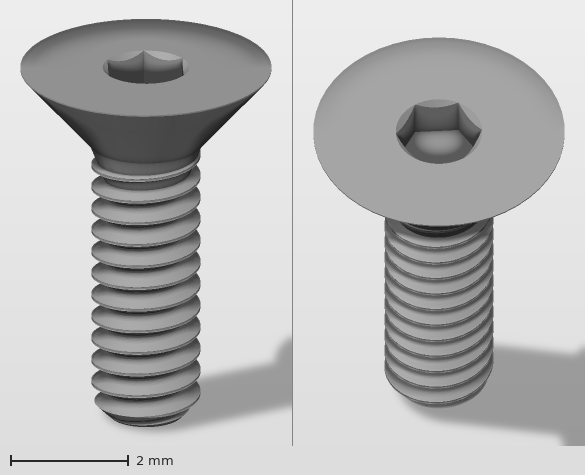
import cadquery as cq
import math

length = 6.35
head_diameter = 4.267
head_rim_height = 0.025
head_cone_half_angle = 41.0

major_diameter = 1.854
pitch = 25.4 / 64
flank_half_angle = 30.0
crest_width = pitch / 8
thread_depth = 0.26
flank_steps = 12
crest_height_at_x_axis = 0.327
tip_diameter = 1.26
thread_overlap_in_head = 0.1

collar_top_radius = 0.965
collar_bottom_radius = 0.93
collar_height = 0.09
neck_half_angle = 21.0
neck_overlap_in_thread = 0.05

socket_across_flats = 1.27
socket_depth = 0.70
socket_chamfer_angle = 45.0


def tangent(degrees):
    """Tangent of an angle given in degrees."""
    return math.tan(math.radians(degrees))


major_radius = major_diameter / 2
minor_radius = major_radius - thread_depth
head_radius = head_diameter / 2
tip_radius = tip_diameter / 2
neck_bottom_radius = minor_radius - neck_overlap_in_thread
rim_bottom = length - head_rim_height
collar_top = rim_bottom - (head_radius - collar_top_radius) / tangent(head_cone_half_angle)
collar_bottom = collar_top - collar_height
neck_bottom = collar_bottom - (collar_bottom_radius - neck_bottom_radius) / tangent(neck_half_angle)
thread_top = collar_top + thread_overlap_in_head


def revolved(outline):
    """Solid of revolution about Z from (radius, height) points."""
    return cq.Workplane("XZ").polyline(outline).close().revolve(360, (0, 0, 0), (0, 1, 0))


def make_thread():
    """Right-hand threaded rod: its flat cross-section twisted upward along Z."""
    turn = 2 * math.pi
    half_crest = turn * crest_width / pitch / 2
    half_root_gap = half_crest + turn * thread_depth * tangent(flank_half_angle) / pitch
    crest_angle = -turn * crest_height_at_x_axis / pitch

    def point(radius, angle):
        return (radius * math.cos(crest_angle + angle), radius * math.sin(crest_angle + angle))

    def flank(start_radius, end_radius, start_angle, end_angle):
        """Points after the first along a spiral whose radius changes evenly with angle."""
        fractions = [step / flank_steps for step in range(1, flank_steps + 1)]
        return [
            point(
                start_radius + fraction * (end_radius - start_radius),
                start_angle + fraction * (end_angle - start_angle),
            )
            for fraction in fractions
        ]

    section = (
        cq.Workplane("XY")
        .moveTo(*point(major_radius, -half_crest))
        .threePointArc(point(major_radius, 0), point(major_radius, half_crest))
        .spline(flank(major_radius, minor_radius, half_crest, half_root_gap), includeCurrent=True)
        .threePointArc(point(minor_radius, math.pi), point(minor_radius, turn - half_root_gap))
        .spline(
            flank(minor_radius, major_radius, turn - half_root_gap, turn - half_crest),
            includeCurrent=True,
        )
        .close()
    )
    return section.twistExtrude(thread_top, 360 * thread_top / pitch)


def make_tip_envelope():
    """Space left by the 45 degree tip chamfer, wider than the thread above it."""
    clear_radius = major_radius + crest_width
    return revolved([
        (0, 0),
        (tip_radius, 0),
        (clear_radius, clear_radius - tip_radius),
        (clear_radius, length),
        (0, length),
    ])


def make_head():
    """Countersunk head with the collar and neck cone that run into the thread."""
    return revolved([
        (0, neck_bottom),
        (neck_bottom_radius, neck_bottom),
        (collar_bottom_radius, collar_bottom),
        (collar_top_radius, collar_top),
        (head_radius, rim_bottom),
        (head_radius, length),
        (0, length),
    ])


def make_socket():
    """Hexagonal recess with corners on the Y axis and a conical lead-in."""
    flat_radius = socket_across_flats / 2
    corner_radius = flat_radius / math.cos(math.pi / 6)
    lead_in_bottom = length - (corner_radius - flat_radius) * tangent(socket_chamfer_angle)
    hexagon = (
        cq.Workplane("XY", origin=(0, 0, length))
        .transformed(rotate=(0, 0, 90))
        .polygon(6, 2 * corner_radius)
        .extrude(-socket_depth)
    )
    lead_in = revolved([
        (0, length),
        (corner_radius, length),
        (flat_radius, lead_in_bottom),
        (0, lead_in_bottom),
    ])
    return hexagon.union(lead_in)


shank = make_thread().intersect(make_tip_envelope())
result = shank.union(make_head()).cut(make_socket())